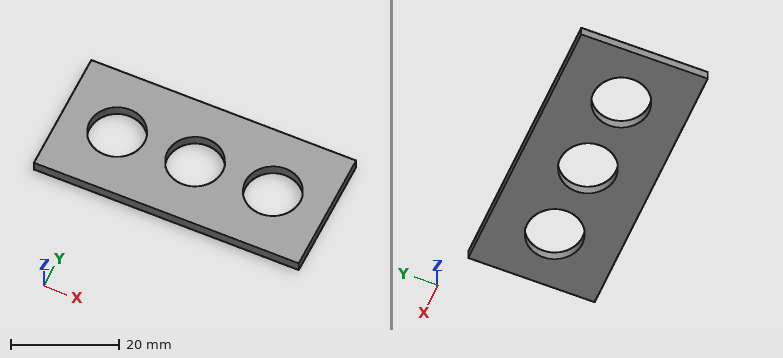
import cadquery as cq

plate_length = 53.975
plate_width = 25.4
plate_thickness = 2.25
hole_diameter = 11.1125
hole_count = 3
hole_pitch = 15.875


def make_plate():
    """Flat rectangular plate, centred on the origin."""
    return cq.Workplane("XY").box(plate_length, plate_width, plate_thickness)


def cut_hole_row(plate):
    """Evenly spaced row of through holes along the plate's centreline."""
    return (
        plate.faces(">Z")
        .workplane()
        .rarray(hole_pitch, plate_width, hole_count, 1)
        .hole(hole_diameter)
    )


result = cut_hole_row(make_plate())